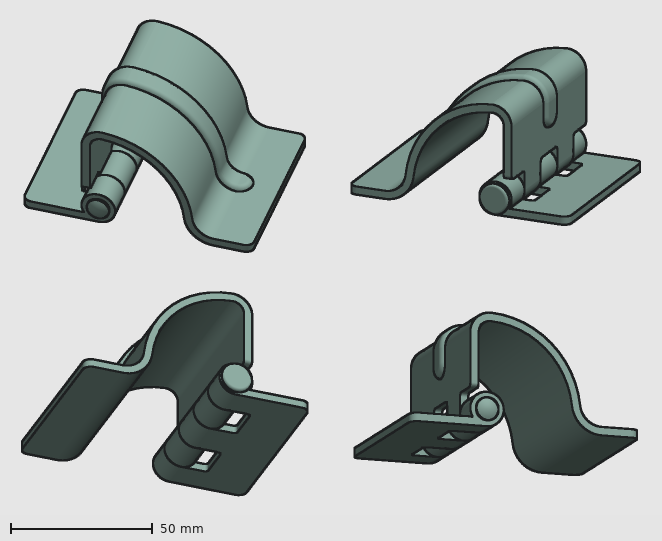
import cadquery as cq
import math

thickness = 3.1
width = 64.8
half_width = width / 2
knuckle_radius = 6.25
pin_radius = 4.15
corner_radius = 3.0

overall_length = 85.0
base_left = -28.15
base_bottom = -knuckle_radius
window_left = -10.0
window_corner_radius = 1.2

end_knuckle_width = 11.2
middle_knuckle_width = 14.4
gap_width = (width - 2 * end_knuckle_width - middle_knuckle_width) / 2
gap_center = (middle_knuckle_width + gap_width) / 2
gap_centers = (-gap_center, gap_center)
end_center = half_width - end_knuckle_width / 2
base_knuckles = (
    (-end_center, end_knuckle_width),
    (0, middle_knuckle_width),
    (end_center, end_knuckle_width),
)

leg_outer_x = -knuckle_radius
arch_radius = 35.0
top_bend_radius = 7.5
foot_bend_radius = 8.0
foot_bottom = -6.5
foot_top = foot_bottom + thickness
foot_right = base_left + overall_length
notch_top = 7.65
notch_corner_radius = 1.4
leg_corner_radius = 1.4

bead_width = 10.0
bead_height = 1.6
bead_edge_radius = 2.2
bead_root_depth = thickness / 2
bead_end_radius = bead_width / 2
bead_leg_center_z = 22.0
bead_foot_center_x = 42.05
bead_trim_margin = 1.0

head_radius = 5.7
head_thickness = 2.1
tail_straight = 0.6
tail_dome_height = 1.3

top_bend_x = leg_outer_x + top_bend_radius
top_bend_z = math.sqrt((arch_radius - top_bend_radius) ** 2 - top_bend_x ** 2)
foot_bend_z = foot_top + foot_bend_radius
foot_bend_x = math.sqrt((arch_radius + foot_bend_radius) ** 2 - foot_bend_z ** 2)
top_tangent_angle = math.atan2(top_bend_z, top_bend_x)
foot_tangent_angle = math.atan2(foot_bend_z, foot_bend_x)


def polar(radius, angle, center=(0, 0)):
    return (center[0] + radius * math.cos(angle), center[1] + radius * math.sin(angle))


def clamp_band(inner, outer, leg_end_z, foot_end_x):
    """XZ band between two offsets of the clamp's outer face (positive offsets point outward)."""
    top_center = (top_bend_x, top_bend_z)
    foot_center = (foot_bend_x, foot_bend_z)
    top_mid = (math.pi + top_tangent_angle) / 2
    arch_mid = (top_tangent_angle + foot_tangent_angle) / 2
    foot_mid = (math.pi + foot_tangent_angle + 1.5 * math.pi) / 2

    def leg_start(offset):
        return (leg_outer_x - offset, top_bend_z)

    def foot_start(offset):
        return (foot_bend_x, foot_top + offset)

    def top_arc_mid(offset):
        return polar(top_bend_radius + offset, top_mid, top_center)

    def foot_arc_mid(offset):
        return polar(foot_bend_radius - offset, foot_mid, foot_center)

    return (
        cq.Workplane("XZ")
        .moveTo(leg_outer_x - outer, leg_end_z)
        .lineTo(*leg_start(outer))
        .threePointArc(top_arc_mid(outer), polar(arch_radius + outer, top_tangent_angle))
        .threePointArc(polar(arch_radius + outer, arch_mid), polar(arch_radius + outer, foot_tangent_angle))
        .threePointArc(foot_arc_mid(outer), foot_start(outer))
        .lineTo(foot_end_x, foot_top + outer)
        .lineTo(foot_end_x, foot_top + inner)
        .lineTo(*foot_start(inner))
        .threePointArc(foot_arc_mid(inner), polar(arch_radius + inner, foot_tangent_angle))
        .threePointArc(polar(arch_radius + inner, arch_mid), polar(arch_radius + inner, top_tangent_angle))
        .threePointArc(top_arc_mid(inner), leg_start(inner))
        .lineTo(leg_outer_x - inner, leg_end_z)
        .close()
    )


def cylinder_y(radius, length, center_y=0):
    """Cylinder on the hinge axis, centered at center_y."""
    return cq.Workplane("XZ", origin=(0, center_y, 0)).circle(radius).extrude(length / 2, both=True)


def make_base():
    plate = (
        cq.Workplane("XY", origin=(0, 0, base_bottom))
        .moveTo(base_left, -half_width)
        .lineTo(0, -half_width)
        .lineTo(0, half_width)
        .lineTo(base_left, half_width)
        .close()
        .extrude(thickness)
        .edges("|Z and <X")
        .fillet(corner_radius)
    )
    window_length = -window_left + knuckle_radius
    for center in gap_centers:
        window = (
            cq.Workplane("XY", origin=(window_left + window_length / 2, center, 0))
            .rect(window_length, gap_width)
            .extrude(2 * base_bottom)
            .edges("|Z and <X")
            .fillet(window_corner_radius)
        )
        plate = plate.cut(window)
    for center, length in base_knuckles:
        plate = plate.union(cylinder_y(knuckle_radius, length, center))
    return plate.cut(cylinder_y(pin_radius, width))


def make_bead():
    """Raised band with rounded ends and a rounded upper rim."""
    leg_end_z = bead_leg_center_z - bead_end_radius
    foot_end_x = bead_foot_center_x + bead_end_radius
    bead = clamp_band(-bead_root_depth, bead_height, leg_end_z, foot_end_x).extrude(bead_width / 2, both=True)

    depth = bead_height + bead_root_depth
    leg_corners = (
        cq.Workplane("YZ", origin=(leg_outer_x - bead_height, 0, bead_leg_center_z))
        .moveTo(-bead_end_radius, 0)
        .threePointArc((0, -bead_end_radius), (bead_end_radius, 0))
        .lineTo(bead_end_radius, -bead_width)
        .lineTo(-bead_end_radius, -bead_width)
        .close()
        .extrude(depth)
    )
    foot_corners = (
        cq.Workplane("XY", origin=(bead_foot_center_x, 0, foot_top - bead_root_depth))
        .moveTo(0, -bead_end_radius)
        .threePointArc((bead_end_radius, 0), (0, bead_end_radius))
        .lineTo(bead_width, bead_end_radius)
        .lineTo(bead_width, -bead_end_radius)
        .close()
        .extrude(depth + bead_trim_margin)
    )
    bead = bead.cut(leg_corners).cut(foot_corners)
    return bead.faces("<X").edges("not |Y").fillet(bead_edge_radius)


def cut_notches(clamp):
    """Clear the leg around the base knuckles and round the notch corners."""
    notch_reach = 2 * knuckle_radius
    notch_height = notch_top + knuckle_radius
    for center, length in base_knuckles:
        notch = cq.Workplane("XY", origin=(0, center, notch_top - notch_height / 2)).box(
            notch_reach, length, notch_height
        )
        inner_corners = "|X and >Z"
        if center > 0:
            inner_corners += " and <Y"
        if center < 0:
            inner_corners += " and >Y"
        clamp = clamp.cut(notch.edges(inner_corners).fillet(notch_corner_radius))
    leg_corners = cq.selectors.BoxSelector(
        (-notch_reach, -width, notch_top - notch_corner_radius / 2),
        (0, width, notch_top + notch_corner_radius / 2),
    )
    return clamp.edges(leg_corners).edges("|X").edges("<Y or >Y").fillet(leg_corner_radius)


def make_clamp():
    clamp = clamp_band(-thickness, 0, 0, foot_right).extrude(half_width, both=True)
    clamp = clamp.edges("|Z and >X").fillet(corner_radius)
    clamp = cut_notches(clamp)
    for center in gap_centers:
        clamp = clamp.union(cylinder_y(knuckle_radius, gap_width, center))
    clamp = clamp.cut(cylinder_y(pin_radius, width))
    return clamp.union(make_bead())


def make_pin():
    """Straight pin with a round-edged head at +Y and a shallow domed tail at -Y."""
    tail_y = -half_width - tail_straight
    dome_radius = (pin_radius ** 2 + tail_dome_height ** 2) / (2 * tail_dome_height)
    dome_center_y = tail_y - tail_dome_height + dome_radius
    dome_mid_angle = math.asin(pin_radius / dome_radius) / 2 - math.pi / 2
    head_y = half_width + head_thickness
    head_flat_radius = head_radius - head_thickness / 2
    profile = (
        cq.Workplane("XY")
        .moveTo(0, tail_y - tail_dome_height)
        .threePointArc(polar(dome_radius, dome_mid_angle, (0, dome_center_y)), (pin_radius, tail_y))
        .lineTo(pin_radius, half_width)
        .lineTo(head_flat_radius, half_width)
        .threePointArc((head_radius, half_width + head_thickness / 2), (head_flat_radius, head_y))
        .lineTo(0, head_y)
        .close()
    )
    return profile.revolve(360, (0, 0, 0), (0, 1, 0))


base = make_base()
clamp = make_clamp()
pin = make_pin()
result = cq.Compound.makeCompound([body.solids().val() for body in (base, clamp, pin)])